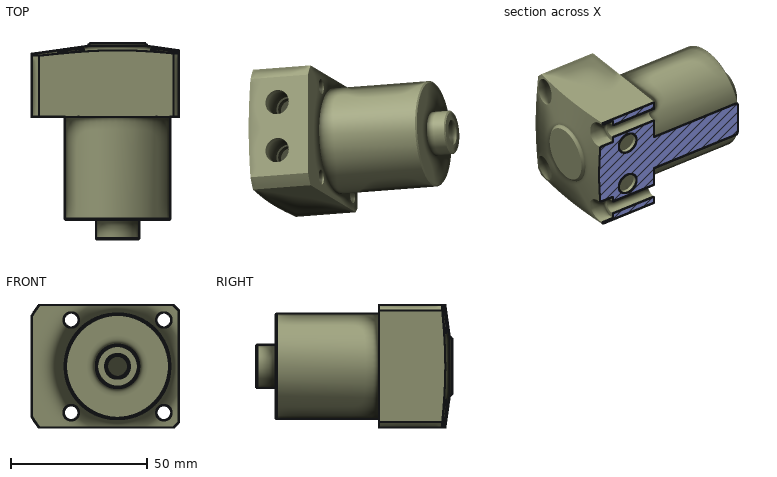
import cadquery as cq
import math


overall_length = 72

block_height = 45.0
block_width = 54
block_right = block_height / 2
block_left = block_width - block_right
left_corner_radius = 36.5
right_corner_chamfer = 2.0

back_length = 27.0
cap_diameter = 22.0
cap_chamfer = 1.0
back_cone_angle = 8

body_diameter = 38.8
body_length = 37.9
rod_diameter = 16.0
rod_length = overall_length - back_length - body_length
edge_chamfer = 0.5

thread_diameter = 9.1
pilot_diameter = 7.8
thread_depth = 12.0
pilot_depth = 15.0
port_spacing = 18.0
port_y = 12.0

screw_spacing = 34.0
screw_diameter = 5.5
counterbore_diameter = 9.5
counterbore_depth = 5.5


def cylinder(diameter, y_start, length):
    """Cylinder on the main axis, growing towards +Y."""
    plane = cq.Workplane("XZ", origin=(0, y_start, 0))
    return plane.circle(diameter / 2).extrude(-length)


def stepped_hole(mouth):
    """Tool for a threaded hole, sunk along the normal of a plane at the hole's mouth."""
    thread = cq.Workplane(mouth).circle(thread_diameter / 2).extrude(thread_depth)
    pilot = cq.Workplane(mouth).circle(pilot_diameter / 2).extrude(pilot_depth)
    return thread.union(pilot)


def cone_y(radius):
    """Y position of the conical back at a distance from the axis."""
    cone_start_y = back_length - cap_chamfer
    return cone_start_y - (radius - cap_diameter / 2) * math.tan(math.radians(back_cone_angle))


def make_turned_envelope():
    """Solid of revolution giving the block its conical back, cap and left corner arcs."""
    cap_radius = cap_diameter / 2
    profile = [
        (0, 0),
        (left_corner_radius, 0),
        (left_corner_radius, cone_y(left_corner_radius)),
        (cap_radius, cone_y(cap_radius)),
        (cap_radius - cap_chamfer, back_length),
        (0, back_length),
    ]
    return cq.Workplane("XY").polyline(profile).close().revolve(360, (0, 0, 0), (0, 1, 0))


def make_block():
    block = (
        cq.Workplane("XY")
        .box(block_width, back_length, block_height, centered=(False, False, True))
        .translate((-block_left, 0, 0))
        .edges("|Y and >X")
        .chamfer(right_corner_chamfer)
    )
    return block.intersect(make_turned_envelope())


def make_body_and_rod():
    body = cylinder(body_diameter, -body_length, body_length).faces("<Y").chamfer(edge_chamfer)
    rod_end = -body_length - rod_length
    rod = cylinder(rod_diameter, rod_end, rod_length).faces("<Y").chamfer(edge_chamfer)
    bore = stepped_hole(cq.Plane(origin=(0, rod_end, 0), normal=(0, 1, 0)))
    return body.union(rod).cut(bore)


def make_port(z_side):
    mouth = (-block_left, port_y, z_side * port_spacing / 2)
    return stepped_hole(cq.Plane(origin=mouth, normal=(1, 0, 0)))


def make_screw_holes():
    """Through holes with counterbores sunk from the conical back."""
    hole_distance = screw_spacing / math.sqrt(2)
    counterbore_y = cone_y(hole_distance) - counterbore_depth
    through = cylinder(screw_diameter, 0, back_length)
    counterbore = cylinder(counterbore_diameter, counterbore_y, back_length - counterbore_y)
    screw_hole = through.union(counterbore)
    holes = cq.Workplane("XZ")
    for x_side in (-1, 1):
        for z_side in (-1, 1):
            offset = (x_side * screw_spacing / 2, 0, z_side * screw_spacing / 2)
            holes = holes.add(screw_hole.translate(offset))
    return holes.combine()


block = make_block().cut(make_screw_holes())
for z_side in (-1, 1):
    block = block.cut(make_port(z_side))
result = block.union(make_body_and_rod())